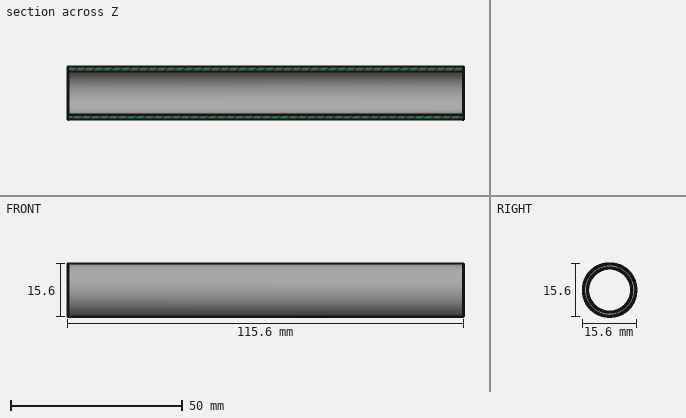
import cadquery as cq

length = 115.6
outer_diameter = 15.6
bore_diameter = 12.6
edge_chamfer = 0.3

tube = (
    cq.Workplane("YZ", origin=(-length / 2, 0, 0))
    .circle(outer_diameter / 2)
    .circle(bore_diameter / 2)
    .extrude(length)
)

result = tube.faces("<X or >X").edges().chamfer(edge_chamfer)